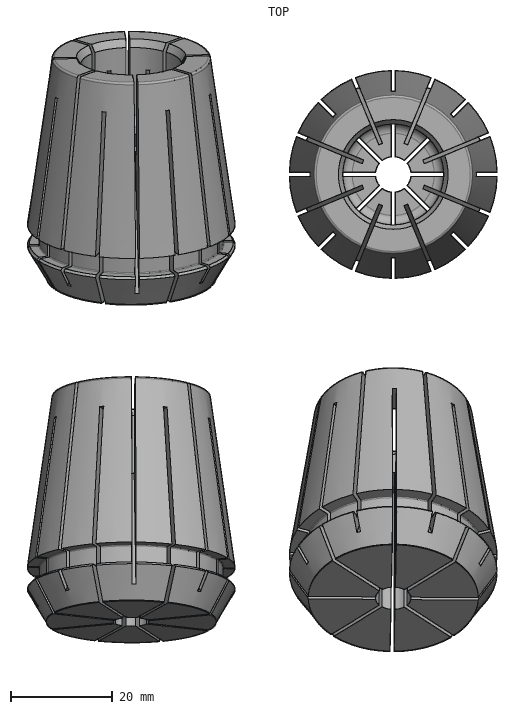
import cadquery as cq
import math

LENGTH = 46.0
MAX_RADIUS = 41.0 / 2
UPPER_TAPER_DEG = 8.0
LOWER_TAPER_DEG = 30.0
GROOVE_TOP = 11.05
GROOVE_BOTTOM = 7.1
GROOVE_RADIUS = 18.12
GROOVE_ROOT_ROUND = 0.2
LOWER_TAPER_TOP = 6.62
RIM_CHAMFER = 0.4
BASE_LAND = 0.2
TOP_EDGE_ROUND = 0.45

BORE_RADIUS = 3.5
RELIEF_RADIUS = 9.95
RELIEF_FLOOR_ROUND = 1.85
MOUTH_FLARE = 0.87
MOUTH_FLARE_DEG = 30.0

SLOT_COUNT = 8
SLOT_WIDTH = 0.8
LOWER_SLOT_TOP = 39.95
UPPER_SLOT_EXIT = 3.0
UPPER_SLOT_FLOOR_DEG = 65.0
UPPER_SLOT_INNER_RADIUS = 6.5


def slope(degrees):
    """Rise over run of a line at the given angle."""
    return math.tan(math.radians(degrees))


TOP_RADIUS = MAX_RADIUS - (LENGTH - GROOVE_TOP) * slope(UPPER_TAPER_DEG)
BASE_RADIUS = MAX_RADIUS - (LOWER_TAPER_TOP - BASE_LAND) * slope(LOWER_TAPER_DEG)
MOUTH_DEPTH = MOUTH_FLARE / slope(MOUTH_FLARE_DEG)
CUT_RADIUS = MAX_RADIUS + SLOT_WIDTH

UPPER_SLOT_EXIT_RADIUS = BASE_RADIUS + (UPPER_SLOT_EXIT - BASE_LAND) * slope(LOWER_TAPER_DEG)
UPPER_SLOT_RUN = UPPER_SLOT_EXIT_RADIUS - UPPER_SLOT_INNER_RADIUS
RELIEF_FLOOR = UPPER_SLOT_EXIT + UPPER_SLOT_RUN * slope(UPPER_SLOT_FLOOR_DEG)


def make_body():
    """Solid of revolution of the outer profile, with groove roots and top edge rounded."""
    outline = [
        (0, 0),
        (BASE_RADIUS, 0),
        (BASE_RADIUS, BASE_LAND),
        (MAX_RADIUS, LOWER_TAPER_TOP),
        (MAX_RADIUS - RIM_CHAMFER, GROOVE_BOTTOM),
        (GROOVE_RADIUS, GROOVE_BOTTOM),
        (GROOVE_RADIUS, GROOVE_TOP),
        (MAX_RADIUS, GROOVE_TOP),
        (TOP_RADIUS, LENGTH),
        (0, LENGTH),
    ]
    body = cq.Workplane("XZ").polyline(outline).close().revolve(360, (0, 0), (0, 1))
    groove_wall = body.faces("%CYLINDER").faces(">Z")
    body = groove_wall.edges("%CIRCLE").fillet(GROOVE_ROOT_ROUND)
    return body.faces(">Z").edges().fillet(TOP_EDGE_ROUND)


def make_bore():
    """Gripping bore plus the relief bore with its rounded floor and flared mouth."""
    grip = cq.Workplane("XY").circle(BORE_RADIUS).extrude(LENGTH)
    relief = (
        cq.Workplane("XY", origin=(0, 0, RELIEF_FLOOR))
        .circle(RELIEF_RADIUS)
        .extrude(LENGTH - RELIEF_FLOOR)
        .faces("<Z").edges().fillet(RELIEF_FLOOR_ROUND)
    )
    mouth = (
        cq.Workplane("XY", origin=(0, 0, LENGTH))
        .circle(RELIEF_RADIUS + MOUTH_FLARE)
        .extrude(-MOUTH_DEPTH, taper=MOUTH_FLARE_DEG)
    )
    return grip.union(relief).union(mouth)


def make_slots(profile, first_angle):
    """Ring of radial slot cutters, each a flat blade with the given (radius, height) profile."""
    blade = cq.Workplane("XZ").polyline(profile).close().extrude(SLOT_WIDTH / 2, both=True)
    slots = cq.Workplane("XY")
    for index in range(SLOT_COUNT):
        angle = first_angle + index * 360 / SLOT_COUNT
        slots.add(blade.rotate((0, 0, 0), (0, 0, 1), angle))
    return slots.combine()


lower_slot_profile = [
    (0, 0),
    (CUT_RADIUS, 0),
    (CUT_RADIUS, LOWER_SLOT_TOP),
    (0, LOWER_SLOT_TOP),
]

upper_slot_profile = [
    (UPPER_SLOT_INNER_RADIUS, RELIEF_FLOOR),
    (UPPER_SLOT_EXIT_RADIUS, UPPER_SLOT_EXIT),
    (CUT_RADIUS, UPPER_SLOT_EXIT),
    (CUT_RADIUS, LENGTH),
    (UPPER_SLOT_INNER_RADIUS, LENGTH),
]

lower_slots = make_slots(lower_slot_profile, 0)
upper_slots = make_slots(upper_slot_profile, 180 / SLOT_COUNT)

result = make_body().cut(make_bore()).cut(lower_slots).cut(upper_slots)